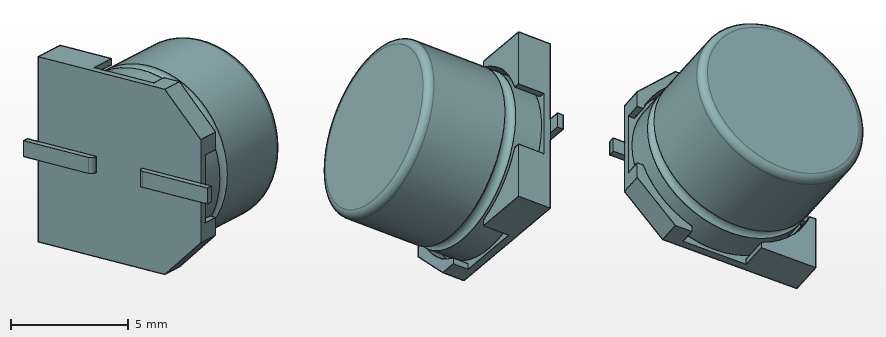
import cadquery as cq


base_side = 8.5
corner_cut = 1.88
floor_height = 0.34
tall_post_height = 1.63
short_post_height = 1.09
slot_width = 3.11

can_diameter = 8.14
can_top = 6.2
can_edge_radius = 0.34
groove_height = 1.94
groove_radius = 0.28

lead_span = 9.6
lead_length = 3.6
lead_width = 0.73
lead_thickness = 0.3
lead_end_radius = 0.21

half_side = base_side / 2
can_radius = can_diameter / 2


def along_y(start):
    """Workplane at Y = start, local axes X and -Z, extruding towards +Y."""
    return cq.Workplane("XZ", origin=(0, start, 0)).transformed(rotate=(180, 0, 0))


def make_can():
    """Cylinder with a rounded top edge and a crimped groove near its foot."""
    can = along_y(floor_height).circle(can_radius).extrude(can_top - floor_height)
    can = can.faces(">Y").edges().fillet(can_edge_radius)
    groove = (
        cq.Workplane("XY")
        .center(can_radius, groove_height)
        .circle(groove_radius)
        .revolve(360, (-can_radius, 0), (-can_radius, 1))
    )
    return can.cut(groove)


def make_base():
    """Square plate, cut at two corners, with a corner post in each quadrant around the can."""
    base = along_y(0).rect(base_side, base_side).extrude(tall_post_height)
    base = base.edges("|Y and >X").chamfer(corner_cut)

    step_depth = tall_post_height - short_post_height
    step = along_y(short_post_height).center(half_side / 2, 0).rect(half_side, base_side).extrude(step_depth)
    base = base.cut(step)

    post_depth = tall_post_height - floor_height
    for size_x, size_z in ((base_side, slot_width), (slot_width, base_side)):
        base = base.cut(along_y(floor_height).rect(size_x, size_z).extrude(post_depth))
    seat = along_y(floor_height).circle(half_side).extrude(post_depth)
    return base.cut(seat)


def make_lead(side):
    """Flat strip under the base, its inner end rounded on the underside; side is -1 or 1."""
    center_x = side * (lead_span - lead_length) / 2
    lead = cq.Workplane("XY").box(lead_length, lead_thickness, lead_width)
    lead = lead.translate((center_x, -lead_thickness / 2, 0))
    inner_face = "<X" if side > 0 else ">X"
    return lead.faces(inner_face).edges("<Y").fillet(lead_end_radius)


base = make_base()
can = make_can()
leads = [make_lead(side) for side in (-1, 1)]

result = cq.Compound.makeCompound([
    base.solids().val(),
    can.solids().val(),
    *[lead.solids().val() for lead in leads],
])